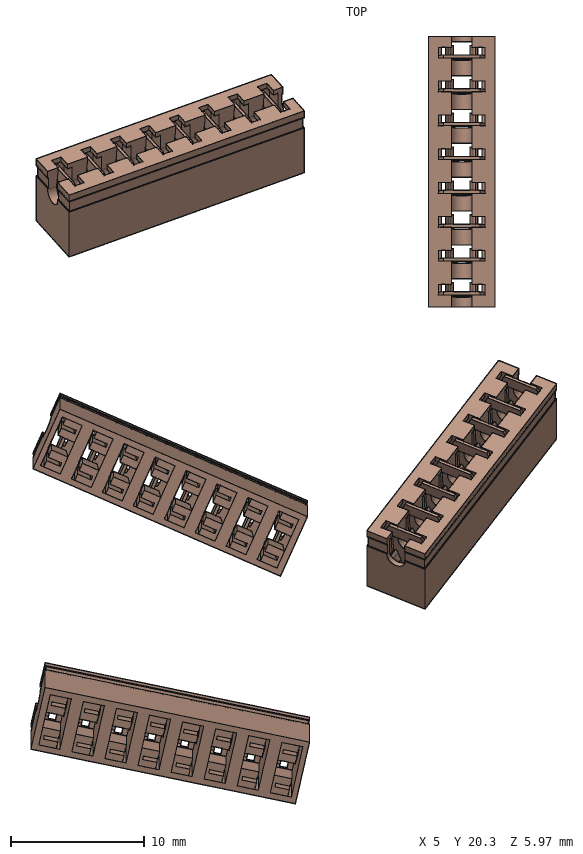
import cadquery as cq

WIDTH = 5.0
LENGTH = 20.32
HEIGHT = 5.97
POSITIONS = 8
PITCH = LENGTH / POSITIONS

LIP_HEIGHT = 0.67
NECK_BOTTOM = 1.65
NECK_DEPTH = 0.08

CHANNEL_WIDTH = 1.52
CHANNEL_DEPTH = 2.5
CHANNEL_RADIUS = CHANNEL_WIDTH / 2
CHANNEL_AXIS_DEPTH = CHANNEL_DEPTH - CHANNEL_RADIUS

SLOT_WIDTH = 3.5
CAVITY_WIDTH = 4.06
SLOT_BACK = 0.45
CAVITY_BACK = 0.85
ROOF_THICKNESS = 0.45

LEAN = 0.07
PLATE_FRONT = -0.35
PLATE_THICKNESS = 0.25
PLATE_TOP_DEPTH = 0.15
PLATE_CORNER_WIDTH = 0.37
PLATE_CORNER_HEIGHT = 0.81
BAR_BOTTOM_DEPTH = 1.18

FORK_BACK = 0.59
PRONG_TOP_DEPTH = 2.93
PRONG_OUTER_X = 1.22
PRONG_SHOULDER_X = 0.83
PIN_GAP = 1.22
FUNNEL_HEIGHT = 0.6
OUTER_PRONG_X = 1.5
TIP_HEIGHT = 0.33
TIP_HALF_WIDTH = (PRONG_OUTER_X - PRONG_SHOULDER_X) / 2
TIP_RADIUS = (TIP_HEIGHT**2 + TIP_HALF_WIDTH**2) / (2 * TIP_HALF_WIDTH)
PRONG_SHOULDER_DEPTH = PRONG_TOP_DEPTH + TIP_HEIGHT
FUNNEL_BOTTOM_DEPTH = PRONG_SHOULDER_DEPTH + FUNNEL_HEIGHT


def plate_front_at(depth):
    """Y of the leaning front face at a depth below the top face."""
    return PLATE_FRONT - LEAN * depth


def plate_back_at(depth):
    return plate_front_at(depth) + PLATE_THICKNESS


def across_x(points, width):
    """Prism with a (Y, Z) outline, centred across X."""
    return cq.Workplane("YZ").polyline(points).close().extrude(width / 2, both=True)


def along_y(outline, front, back):
    """Prism of a closed XZ outline between two Y places."""
    return outline.extrude(back - front).translate((0, back, 0))


def leaning_block(top_depth, back, width):
    """Block with a leaning front and an upright back, reaching the housing bottom."""
    return across_x(
        [
            (plate_front_at(top_depth), -top_depth),
            (back, -top_depth),
            (back, -HEIGHT),
            (plate_front_at(HEIGHT), -HEIGHT),
        ],
        width,
    )


def make_neck():
    height = NECK_BOTTOM - LIP_HEIGHT
    middle = -(LIP_HEIGHT + NECK_BOTTOM) / 2
    outside = cq.Workplane("XY").box(WIDTH, LENGTH, height)
    core = cq.Workplane("XY").box(WIDTH - 2 * NECK_DEPTH, LENGTH - 2 * NECK_DEPTH, height)
    return outside.cut(core).translate((0, 0, middle))


def make_channel():
    outline = (
        cq.Workplane("XZ")
        .moveTo(-CHANNEL_RADIUS, 0)
        .lineTo(-CHANNEL_RADIUS, -CHANNEL_AXIS_DEPTH)
        .threePointArc((0, -CHANNEL_DEPTH), (CHANNEL_RADIUS, -CHANNEL_AXIS_DEPTH))
        .lineTo(CHANNEL_RADIUS, 0)
        .close()
    )
    return along_y(outline, -LENGTH / 2, LENGTH / 2)


def make_cavity():
    """Slot open at the top, leading into a wider cavity that passes through the bottom."""
    slot = leaning_block(0, SLOT_BACK, SLOT_WIDTH)
    lower = leaning_block(ROOF_THICKNESS, CAVITY_BACK, CAVITY_WIDTH)
    return slot.union(lower)


def make_housing(centres):
    block = cq.Workplane("XY").box(WIDTH, LENGTH, HEIGHT).translate((0, 0, -HEIGHT / 2))
    housing = block.cut(make_neck()).cut(make_channel())
    cavity = make_cavity()
    for centre in centres:
        housing = housing.cut(cavity.translate((0, centre, 0)))
    return housing


def make_plate():
    plate = across_x(
        [
            (plate_front_at(PLATE_TOP_DEPTH), -PLATE_TOP_DEPTH),
            (plate_back_at(PLATE_TOP_DEPTH), -PLATE_TOP_DEPTH),
            (plate_back_at(HEIGHT), -HEIGHT),
            (plate_front_at(HEIGHT), -HEIGHT),
        ],
        SLOT_WIDTH,
    )
    return plate.faces(">Z").edges("<X or >X").chamfer(PLATE_CORNER_WIDTH, PLATE_CORNER_HEIGHT)


def make_window():
    """Wire window below the bar, as wide as the outer sides of the two prongs."""
    height = HEIGHT - BAR_BOTTOM_DEPTH
    depth = CAVITY_BACK - plate_front_at(HEIGHT)
    window = cq.Workplane("XY").box(2 * PRONG_OUTER_X, depth, height, centered=(True, False, False))
    return window.translate((0, plate_front_at(HEIGHT), -HEIGHT))


def make_inner_prong():
    """Prong at +X with a pointed round tip, sloping to the pin gap on its inner side."""
    middle = PRONG_SHOULDER_X + TIP_HALF_WIDTH
    outline = (
        cq.Workplane("XZ")
        .moveTo(PRONG_OUTER_X, -HEIGHT)
        .lineTo(PRONG_OUTER_X, -PRONG_SHOULDER_DEPTH)
        .radiusArc((middle, -PRONG_TOP_DEPTH), -TIP_RADIUS)
        .radiusArc((PRONG_SHOULDER_X, -PRONG_SHOULDER_DEPTH), -TIP_RADIUS)
        .lineTo(PIN_GAP / 2, -FUNNEL_BOTTOM_DEPTH)
        .lineTo(PIN_GAP / 2, -HEIGHT)
        .close()
    )
    return along_y(outline, plate_front_at(HEIGHT), FORK_BACK)


def make_outer_prong():
    """Prong against the +X cavity wall with a half-round top."""
    wall = CAVITY_WIDTH / 2
    radius = (wall - OUTER_PRONG_X) / 2
    shoulder = -PRONG_TOP_DEPTH - radius
    outline = (
        cq.Workplane("XZ")
        .moveTo(wall, -HEIGHT)
        .lineTo(wall, shoulder)
        .threePointArc((wall - radius, -PRONG_TOP_DEPTH), (OUTER_PRONG_X, shoulder))
        .lineTo(OUTER_PRONG_X, -HEIGHT)
        .close()
    )
    return along_y(outline, plate_front_at(HEIGHT), FORK_BACK)


def make_contact(centre):
    fork_space = leaning_block(0, FORK_BACK, CAVITY_WIDTH)
    half_fork = make_inner_prong().union(make_outer_prong()).intersect(fork_space)
    contact = make_plate().cut(make_window())
    contact = contact.union(half_fork).union(half_fork.mirror("YZ"))
    return contact.translate((0, centre, 0))


position_centres = [(i - (POSITIONS - 1) / 2) * PITCH for i in range(POSITIONS)]
housing = make_housing(position_centres)
contacts = [make_contact(centre) for centre in position_centres]

result = cq.Compound.makeCompound(
    [housing.solids().val(), *[contact.solids().val() for contact in contacts]]
)